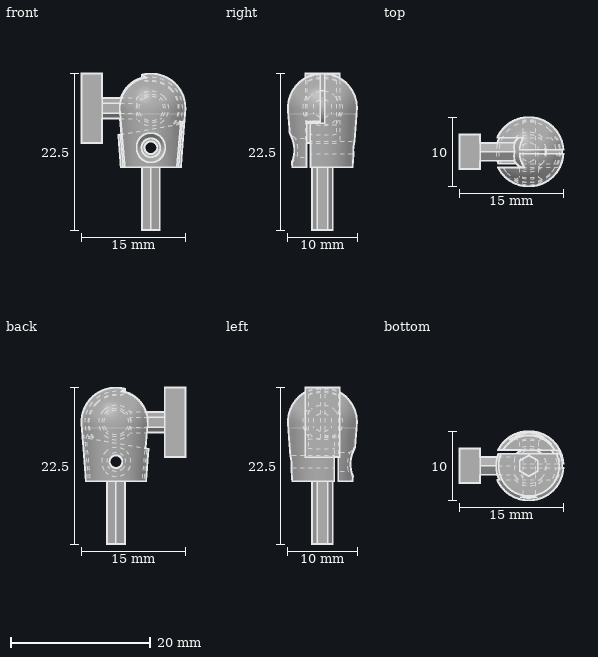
import cadquery as cq
import math


BLOCK_SIZE = (3.0, 5.0, 10.0)
ARM_REACH = 10.0
BALL_R = 2.5
HEX_CIRCLE_D = 3.0

DOME_R = 5.0
SEAM_Z = -0.76
BASE_Z = -8.5
BASE_R = 4.35
SHANK_END_Z = DOME_R - 22.5

SOCKET_R = 2.85
SHELL_INNER_R = 4.5
WINDOW_FRONT_Y = -2.25
WINDOW_BACK_Y = 2.0
WINDOW_END_X = -1.35
WINDOW_END_R = 4.0

UPPER_GAP = 0.6
LOWER_BACK_Y = -1.73
STEP_TILT = 10.0
STEP_Z = -3.0
STEP_GAP = 0.27

SCREW_Z = -5.67
THREAD_D = 1.8
CLEARANCE_D = 2.7
SEAT_CHAMFER = 0.76

FAR = 22.5


def slab(y_min, y_max):
    """Endless slab between two Y planes."""
    return cq.Workplane("XY").box(2 * FAR, y_max - y_min, 2 * FAR).translate((0, (y_min + y_max) / 2, 0))


def above_step(z_at_axis):
    """Half-space above the tilted step plane that crosses the Z axis at z_at_axis."""
    half_space = cq.Workplane("XY").box(2 * FAR, 2 * FAR, FAR, centered=(True, True, False))
    return half_space.rotate((0, 0, 0), (0, 1, 0), -STEP_TILT).translate((0, 0, z_at_axis))


def y_cylinder(diameter, y_min, y_max):
    """Cylinder on the screw axis between two Y planes."""
    start_plane = cq.Workplane("XZ", origin=(0, y_max, SCREW_Z))
    return start_plane.circle(diameter / 2).extrude(y_max - y_min)


def make_arm():
    block_length = BLOCK_SIZE[0]
    block = cq.Workplane("XY").box(*BLOCK_SIZE).translate((block_length / 2 - ARM_REACH, 0, 0))
    rod_start = block_length - ARM_REACH
    rod = cq.Workplane("YZ").polygon(6, HEX_CIRCLE_D).extrude(-rod_start)
    rod = rod.rotate((0, 0, 0), (1, 0, 0), 90).translate((rod_start, 0, 0))
    ball = cq.Workplane("XY").sphere(BALL_R)
    return block.union(rod).union(ball)


def make_envelope():
    """Dome over a tapered skirt, revolved about Z."""
    seam_r = math.sqrt(DOME_R**2 - SEAM_Z**2)
    mid_dome = DOME_R * math.sqrt(0.5)
    profile = (
        cq.Workplane("XZ")
        .moveTo(0, BASE_Z)
        .lineTo(BASE_R, BASE_Z)
        .lineTo(seam_r, SEAM_Z)
        .threePointArc((mid_dome, mid_dome), (0, DOME_R))
        .close()
    )
    return profile.revolve(360, (0, 0, 0), (0, 1, 0))


def make_cavity():
    """Ball socket, relief inside the shell and the arm window with its rounded end."""
    end_center_x = WINDOW_END_X + WINDOW_END_R
    window = cq.Workplane("XY").box(FAR, 2 * FAR, 2 * FAR).translate((end_center_x - FAR / 2, 0, 0))
    end_post = cq.Workplane("XY", origin=(end_center_x, 0, -FAR)).circle(WINDOW_END_R).extrude(2 * FAR)
    relief = cq.Workplane("XY").sphere(SHELL_INNER_R)
    opening = window.cut(end_post).union(relief)
    opening = opening.intersect(slab(WINDOW_FRONT_Y, WINDOW_BACK_Y)).intersect(above_step(STEP_Z))
    return opening.union(cq.Workplane("XY").sphere(SOCKET_R))


def select_hole_rim(half):
    """Outer rim of the clearance hole, where it leaves the tapered skirt."""
    reach = CLEARANCE_D
    inner_y = WINDOW_FRONT_Y - SEAT_CHAMFER
    low_corner = (-reach, -DOME_R, SCREW_Z - reach)
    high_corner = (reach, inner_y, SCREW_Z + reach)
    return half.edges(cq.selectors.BoxSelector(low_corner, high_corner, boundingbox=True))


def make_front_half(hollow):
    upper = slab(-FAR, -UPPER_GAP / 2).intersect(above_step(STEP_Z + STEP_GAP))
    lower = slab(-FAR, WINDOW_FRONT_Y)
    half = hollow.intersect(upper.union(lower)).cut(y_cylinder(CLEARANCE_D, -FAR, 0))
    return select_hole_rim(half).chamfer(SEAT_CHAMFER)


def make_back_half(hollow):
    upper = slab(UPPER_GAP / 2, FAR)
    lower = slab(LOWER_BACK_Y, FAR).cut(above_step(STEP_Z))
    shank = cq.Workplane("XY", origin=(0, 0, SHANK_END_Z)).polygon(6, HEX_CIRCLE_D)
    shank = shank.extrude(BASE_Z - SHANK_END_Z).rotate((0, 0, 0), (0, 0, 1), 90)
    half = hollow.intersect(upper.union(lower)).union(shank)
    return half.cut(y_cylinder(THREAD_D, -FAR, FAR))


arm = make_arm()
hollow_housing = make_envelope().cut(make_cavity())
front_half = make_front_half(hollow_housing)
back_half = make_back_half(hollow_housing)

result = cq.Compound.makeCompound([arm.val(), front_half.val(), back_half.val()])